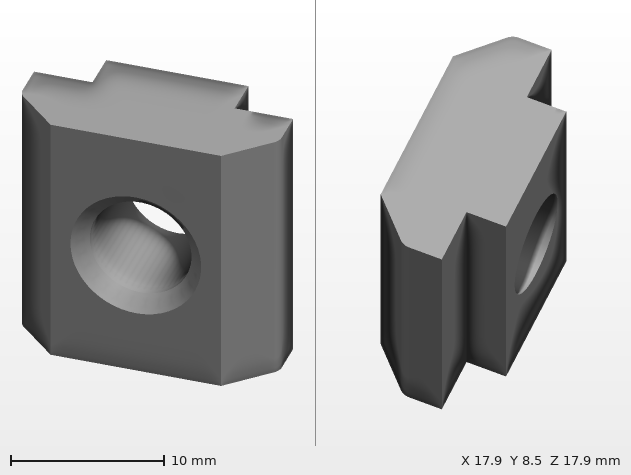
import cadquery as cq
import math

width = 17.85
depth = 8.5
height = 17.9

neck_width = 9.8
neck_depth = 2.81
face_width = 11.75
bevel_depth = 2.65
corner_radius = 1.0
bevel_angle = math.radians(45)

hole_diameter = 7.0
countersink_diameter = 9.0
countersink_angle = 90.0

front_y = -depth / 2
back_y = depth / 2
shoulder_y = back_y - neck_depth
half_width = width / 2

corner_start_y = front_y + bevel_depth
corner_end_y = corner_start_y + corner_radius * math.sin(bevel_angle)
corner_center_x = half_width - corner_radius


def corner_point(angle):
    """Point on the rounded corner of the +X side, angle measured from the side."""
    return (
        corner_center_x + corner_radius * math.cos(angle),
        corner_end_y - corner_radius * math.sin(angle),
    )


def mirrored(point):
    return (-point[0], point[1])


corner_start = corner_point(bevel_angle)
corner_middle = corner_point(bevel_angle / 2)
corner_end = (half_width, corner_end_y)

body = (
    cq.Workplane("XY")
    .workplane(offset=-height / 2)
    .moveTo(-face_width / 2, front_y)
    .lineTo(face_width / 2, front_y)
    .lineTo(*corner_start)
    .threePointArc(corner_middle, corner_end)
    .lineTo(half_width, shoulder_y)
    .lineTo(neck_width / 2, shoulder_y)
    .lineTo(neck_width / 2, back_y)
    .lineTo(-neck_width / 2, back_y)
    .lineTo(-neck_width / 2, shoulder_y)
    .lineTo(-half_width, shoulder_y)
    .lineTo(*mirrored(corner_end))
    .threePointArc(mirrored(corner_middle), mirrored(corner_start))
    .close()
    .extrude(height)
)

result = (
    body.faces("<Y")
    .workplane(origin=(0, front_y, 0))
    .cskHole(hole_diameter, countersink_diameter, countersink_angle)
)